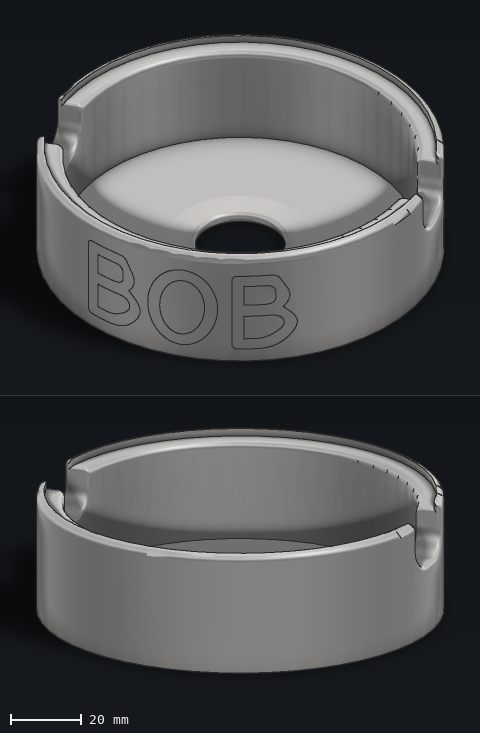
import cadquery as cq
import math

OUTER_RADIUS = 57.5
INNER_RADIUS = 50.0
HEIGHT = 35.0
FLOOR_THICKNESS = 4.0
LIP_SIZE = 2.2
RIM_ROUNDING = 2.0
RIM_HEIGHT = HEIGHT - LIP_SIZE
OVERSHOOT = 1.2

HOLE_RADIUS = 12.6
FLARE_INNER_RADIUS = 13.8
FLARE_OUTER_RADIUS = 20.2
FLARE_DEPTH = 1.0
HOLE_ROUNDING_DEPTH = 1.5
HOLE_BOTTOM_ROUNDING = 1.0

NOTCH_WIDTH = 19.8
NOTCH_FLOOR = 20.1
NOTCH_CORNER_RADIUS = 7.1
NOTCH_EDGE_FILLET = 1.0

INLAY_DEPTH = 1.0
LETTER_REACH = OUTER_RADIUS + OVERSHOOT
FIRST_B_X = -30.8
SECOND_B_X = 13.2

B_BOTTOM = 4.1
B_TOP = 28.8
B_CORNER_RADIUS = 1.4
B_STEM_WIDTH = 3.3
B_TOP_BOWL_START = 9.4
B_TOP_BOWL_SHOULDER = (13.0, 27.0)
B_TOP_BOWL_END = (15.2, 22.3)
B_WAIST = (13.6, 17.7)
B_LOW_BOWL_END = (17.1, 12.0)
B_LOW_BOWL_SHOULDER = (13.1, 5.9)
B_LOW_BOWL_START = 6.3
B_TOP_WINDOW = [(8.6, 19.0), (11.7, 22.3), (8.6, 25.3)]
B_LOW_WINDOW = [(6.7, 7.6), (11.0, 9.0), (13.8, 12.0), (10.4, 15.2)]

O_CENTER = (-1.0, 16.7)
O_OUTER_RADII = (12.6, 10.2)
O_INNER_RADII = (9.1, 6.5)
O_LEAN = 7.0


def dish_blank():
    """Revolved cup with its lip, rounded rim and flared floor opening."""
    diagonal = math.sqrt(0.5)
    lip_inner = OUTER_RADIUS - LIP_SIZE
    flare_bottom = FLOOR_THICKNESS - FLARE_DEPTH
    flare_width = FLARE_OUTER_RADIUS - FLARE_INNER_RADIUS
    flare_radius = (flare_width**2 + FLARE_DEPTH**2) / (2 * FLARE_DEPTH)
    half_angle = math.atan2(FLARE_DEPTH, flare_width)
    flare_mid = (
        FLARE_OUTER_RADIUS - flare_radius * math.sin(half_angle),
        FLOOR_THICKNESS - flare_radius * (1 - math.cos(half_angle)),
    )
    return (
        cq.Workplane("YZ")
        .moveTo(HOLE_RADIUS + HOLE_BOTTOM_ROUNDING, 0)
        .lineTo(OUTER_RADIUS, 0)
        .lineTo(OUTER_RADIUS, RIM_HEIGHT)
        .threePointArc(
            (lip_inner + LIP_SIZE * diagonal, RIM_HEIGHT + LIP_SIZE * diagonal),
            (lip_inner, HEIGHT),
        )
        .lineTo(lip_inner, RIM_HEIGHT)
        .lineTo(INNER_RADIUS + RIM_ROUNDING, RIM_HEIGHT)
        .threePointArc(
            (INNER_RADIUS + RIM_ROUNDING * (1 - diagonal), RIM_HEIGHT - RIM_ROUNDING * (1 - diagonal)),
            (INNER_RADIUS, RIM_HEIGHT - RIM_ROUNDING),
        )
        .lineTo(INNER_RADIUS, FLOOR_THICKNESS)
        .lineTo(FLARE_OUTER_RADIUS, FLOOR_THICKNESS)
        .threePointArc(flare_mid, (FLARE_INNER_RADIUS, flare_bottom))
        .tangentArcPoint((HOLE_RADIUS, flare_bottom - HOLE_ROUNDING_DEPTH), relative=False)
        .lineTo(HOLE_RADIUS, HOLE_BOTTOM_ROUNDING)
        .threePointArc(
            (HOLE_RADIUS + HOLE_BOTTOM_ROUNDING * (1 - diagonal), HOLE_BOTTOM_ROUNDING * (1 - diagonal)),
            (HOLE_RADIUS + HOLE_BOTTOM_ROUNDING, 0),
        )
        .close()
        .revolve(360, (0, 0, 0), (0, 1, 0))
    )


def notch_cutter():
    """U-shaped bar along X that cuts both notches."""
    length = 2 * (OUTER_RADIUS + OVERSHOOT)
    height = HEIGHT - NOTCH_FLOOR + OVERSHOOT
    return (
        cq.Workplane("XY")
        .box(length, NOTCH_WIDTH, height)
        .edges("|X and <Z")
        .fillet(NOTCH_CORNER_RADIUS)
        .translate((0, 0, NOTCH_FLOOR + height / 2))
    )


def dish_with_notches():
    """Cup with both notches cut and every notch edge rounded."""
    margin = 0.1
    side = NOTCH_WIDTH / 2 + margin
    reach = OUTER_RADIUS + margin
    notch_bottom = NOTCH_FLOOR - margin
    notch_edges = cq.selectors.BoxSelector(
        (-reach, -side, notch_bottom), (reach, side, HEIGHT + margin), boundingbox=True
    )
    below_rim = cq.selectors.BoxSelector(
        (-reach, -side, notch_bottom), (reach, side, RIM_HEIGHT - margin), boundingbox=True
    )
    smooth_seams = below_rim & cq.selectors.StringSyntaxSelector("|X")
    return (
        dish_blank()
        .cut(notch_cutter())
        .edges(notch_edges - smooth_seams)
        .fillet(NOTCH_EDGE_FILLET)
    )


def letter_plane():
    """Start of a letter sketch: X along the dish, Y upwards, extruding towards -Y."""
    return cq.Workplane("XZ")


def b_window(bowl):
    """D-shaped opening of the letter B: a straight stem side and a bowl through the given points."""
    bottom = bowl[0][1]
    top = bowl[-1][1]
    return (
        letter_plane()
        .moveTo(B_STEM_WIDTH, bottom)
        .lineTo(*bowl[0])
        .spline(bowl[1:], tangents=[(1, 0), (-1, 0)], includeCurrent=True)
        .lineTo(B_STEM_WIDTH, top)
        .close()
        .extrude(LETTER_REACH)
    )


def letter_b_prism(left_x):
    """Straight prism of the letter B reaching out past the wall."""
    outline = (
        letter_plane()
        .moveTo(0, B_BOTTOM)
        .lineTo(B_LOW_BOWL_START, B_BOTTOM)
        .spline(
            [B_LOW_BOWL_SHOULDER, B_LOW_BOWL_END, B_WAIST],
            tangents=[(1, 0), (-1, 1)],
            includeCurrent=True,
        )
        .spline(
            [B_TOP_BOWL_END, B_TOP_BOWL_SHOULDER, (B_TOP_BOWL_START, B_TOP)],
            tangents=[(1, 1), (-1, 0)],
            includeCurrent=True,
        )
        .lineTo(0, B_TOP)
        .close()
        .extrude(LETTER_REACH)
        .edges("|Y and <X")
        .fillet(B_CORNER_RADIUS)
    )
    return outline.cut(b_window(B_TOP_WINDOW)).cut(b_window(B_LOW_WINDOW)).translate((left_x, 0, 0))


def leaning_ellipse(radii):
    """Prism of the ellipse with the given tall and wide radii."""
    tall, wide = radii
    return (
        letter_plane()
        .center(*O_CENTER)
        .ellipse(tall, wide, rotation_angle=90 - O_LEAN)
        .extrude(LETTER_REACH)
    )


def letter_o_prism():
    """Straight prism of the letter O reaching out past the wall."""
    return leaning_ellipse(O_OUTER_RADII).cut(leaning_ellipse(O_INNER_RADII))


def inlay(letter_prism):
    """Letter body: the part of the prism within the outer skin of the wall."""
    skin = (
        cq.Workplane("XY")
        .circle(OUTER_RADIUS)
        .circle(OUTER_RADIUS - INLAY_DEPTH)
        .extrude(RIM_HEIGHT)
    )
    return letter_prism.intersect(skin)


letters_b = [inlay(letter_b_prism(left_x)) for left_x in (FIRST_B_X, SECOND_B_X)]
letter_o = inlay(letter_o_prism())

dish = dish_with_notches()
for letter in [*letters_b, letter_o]:
    dish = dish.cut(letter)

result = cq.Compound.makeCompound(
    [dish.val(), letter_o.val(), *[letter.val() for letter in letters_b]]
)